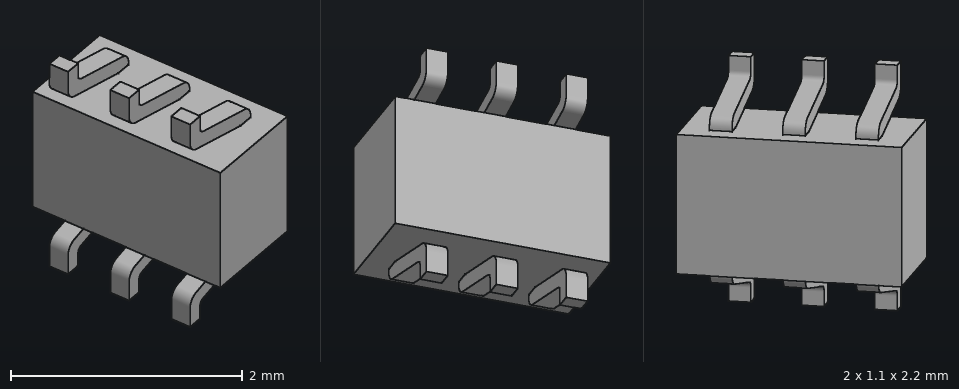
import cadquery as cq
import math

housing_width = 2.0
housing_depth = 1.0
housing_height = 1.25

lead_count = 3
lead_pitch = 0.65
lead_width = 0.2
lead_thickness = 0.15
overall_depth = 1.1
overall_height = 2.2
lead_depth = 0.9
arm_angle = math.radians(13)
outer_bend_radius = 0.119
inner_bend_radius = 0.062

foot_front = housing_depth / 2 - overall_depth
foot_back = foot_front + lead_thickness
strip_back = foot_front + lead_depth
strip_front = strip_back - lead_thickness

arm_slope = math.tan(arm_angle)
arm_vertical_thickness = lead_thickness / math.cos(arm_angle)
housing_top = housing_height / 2
foot_end = overall_height / 2
heel_height = housing_top + (strip_front - foot_front) * arm_slope
instep_height = housing_top + arm_vertical_thickness + (strip_front - foot_back) * arm_slope
shoulder_height = housing_top + arm_vertical_thickness - lead_thickness * arm_slope


def make_lead(x):
    """One lead, mirror-symmetric about the horizontal mid-plane, centred at x."""
    upper_outline = [
        (strip_front, 0),
        (strip_front, housing_top),
        (foot_front, heel_height),
        (foot_front, foot_end),
        (foot_back, foot_end),
        (foot_back, instep_height),
        (strip_back, shoulder_height),
        (strip_back, 0),
    ]
    upper_half = (
        cq.Workplane("YZ", origin=(x - lead_width / 2, 0, 0))
        .polyline(upper_outline)
        .close()
        .extrude(lead_width)
    )
    outer_bends = [(foot_front, heel_height), (strip_back, shoulder_height)]
    for y, z in outer_bends:
        upper_half = upper_half.edges(
            cq.selectors.NearestToPointSelector((x, y, z))
        ).fillet(outer_bend_radius)
    upper_half = upper_half.edges(
        cq.selectors.NearestToPointSelector((x, foot_back, instep_height))
    ).fillet(inner_bend_radius)
    return upper_half.union(upper_half.mirror("XY")).clean()


def make_housing(leads):
    """Plain block with a matching slot for each lead."""
    housing = cq.Workplane("XY").box(housing_width, housing_depth, housing_height)
    for lead in leads:
        housing = housing.cut(lead)
    return housing


leads = [make_lead((i - (lead_count - 1) / 2) * lead_pitch) for i in range(lead_count)]
housing = make_housing(leads)

result = cq.Compound.makeCompound([housing.val(), *[lead.val() for lead in leads]])